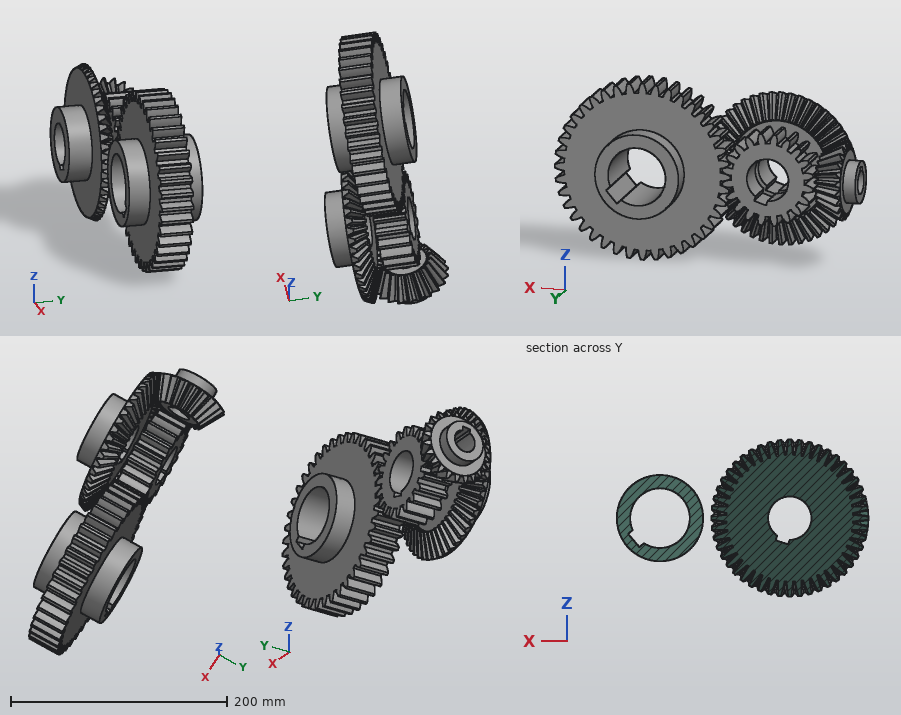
import cadquery as cq
import math

overall_length = 289.0
pressure_angle = math.radians(20)
backlash = 0.15
overshoot = 1.0

spur_gear_teeth = 40
spur_pinion_teeth = 20
spur_gear_tip_diameter = 168.0
spur_module = spur_gear_tip_diameter / (spur_gear_teeth + 2)
spur_dedendum = 1.25 * spur_module
spur_centre_distance = spur_module * (spur_gear_teeth + spur_pinion_teeth) / 2
spur_width = 30.0
spur_hub_diameter = 80.0
spur_hub_length = 70.0

bevel_gear_teeth = 48
bevel_pinion_teeth = 22
bevel_gear_pitch_diameter = 144.0
bevel_module = bevel_gear_pitch_diameter / bevel_gear_teeth
cone_distance = bevel_module * math.hypot(bevel_gear_teeth, bevel_pinion_teeth) / 2
bevel_face_width = 26.0
bevel_ratio = bevel_gear_teeth / bevel_pinion_teeth
bevel_gear_addendum = bevel_module * (0.54 + 0.46 / bevel_ratio**2)
bevel_pinion_addendum = 2 * bevel_module - bevel_gear_addendum
bevel_whole_depth = 2.188 * bevel_module
bevel_toe_step = 1.0

bevel_gear_back = 38.1
bevel_gear_hub_end = 60.0
bevel_gear_hub_diameter = 70.0
bevel_pinion_back = 73.5
bevel_pinion_hub_end = overall_length - spur_centre_distance - spur_gear_tip_diameter / 2
bevel_pinion_hub_diameter = 40.0

spur_gear_bore = (55.0, 16.0, 31.8, -40.5)
cross_shaft_bore = (40.0, 12.0, 23.5, -72)
bevel_pinion_bore = (22.0, 8.0, 14.2, -8)


def involute(angle):
    return math.tan(angle) - angle


def tooth_space(plane, module, teeth, root_radius, outer_radius, scale=1.0):
    """Closed outline of one involute tooth gap; the plane's origin lies on the pitch circle."""
    pitch_radius = module * teeth / 2
    base_radius = pitch_radius * math.cos(pressure_angle)
    thickness = module * math.pi / 2 - backlash

    def half_gap(radius):
        local_angle = math.acos(min(1.0, base_radius / radius))
        half_tooth = thickness / (2 * pitch_radius) + involute(pressure_angle) - involute(local_angle)
        return math.pi / teeth - half_tooth

    def point(radius, angle):
        return (scale * radius * math.sin(angle), scale * (radius * math.cos(angle) - pitch_radius))

    foot_radius = max(base_radius, root_radius)
    middle_radius = (foot_radius + outer_radius) / 2
    foot, middle, outer = half_gap(foot_radius), half_gap(middle_radius), half_gap(outer_radius)

    outline = cq.Workplane(plane).moveTo(*point(outer_radius, -outer))
    outline = outline.threePointArc(point(middle_radius, -middle), point(foot_radius, -foot))
    if root_radius < base_radius:
        outline = outline.lineTo(*point(root_radius, -foot))
    outline = outline.threePointArc(point(root_radius, 0), point(root_radius, foot))
    if root_radius < base_radius:
        outline = outline.lineTo(*point(foot_radius, foot))
    return outline.threePointArc(point(middle_radius, middle), point(outer_radius, outer)).close()


def cut_tooth_spaces(blank, space, teeth, first_space):
    """Cut copies of one space, turned about Z from first_space (degrees), out of the blank."""
    spaces = [space.rotate((0, 0, 0), (0, 0, 1), first_space + 360 * i / teeth) for i in range(teeth)]
    return cq.Workplane(blank.val().cut(*[each.val() for each in spaces]).Solids()[0])


def cut_keyed_bore(body, bore):
    """Cut a bore with a keyway right through a body, along Z."""
    diameter, key_width, floor_distance, direction = bore
    cutter_length = 2 * overall_length
    hole = cq.Workplane("XY").cylinder(cutter_length, diameter / 2)
    keyway = cq.Workplane("XY").box(floor_distance, key_width, cutter_length, centered=(False, True, True))
    bored = body.cut(hole).cut(keyway.rotate((0, 0, 0), (0, 0, 1), direction))
    return bored.solids()


def spur_toothed_disc(teeth, first_space):
    """Toothed disc about Z, centred on the XY plane."""
    pitch_radius = spur_module * teeth / 2
    tip_radius = pitch_radius + spur_module
    bottom = cq.Plane(origin=(0, 0, -spur_width / 2))
    plane = cq.Plane(origin=(pitch_radius, 0, -spur_width / 2), xDir=(0, -1, 0), normal=(0, 0, 1))
    outline = tooth_space(plane, spur_module, teeth, pitch_radius - spur_dedendum, tip_radius + overshoot)
    space = outline.extrude(spur_width)
    blank = cq.Workplane(bottom).circle(tip_radius).extrude(spur_width)
    return cut_tooth_spaces(blank, space, teeth, first_space)


def bevel_wheel(teeth, mate_teeth, addendum, mate_addendum, back, hub_end, hub_diameter, bore):
    """Straight bevel wheel about Z with its apex at the origin and a tooth on +X."""
    pitch_angle = math.atan2(teeth, mate_teeth)
    sine = math.sin(pitch_angle)
    cosine = math.cos(pitch_angle)
    dedendum = bevel_whole_depth - addendum
    mate_dedendum = bevel_whole_depth - mate_addendum
    toe_distance = cone_distance - bevel_face_width
    toe_scale = toe_distance / cone_distance
    toe_addendum = addendum - bevel_face_width * mate_dedendum / cone_distance

    def profile_point(distance, height):
        """Point (radius, z) at a distance along the pitch line and a height square to it."""
        return (distance * sine + height * cosine, distance * cosine - height * sine)

    toe_rim = profile_point(toe_distance, -dedendum * toe_scale - bevel_toe_step)
    back_radius = (cone_distance - back * cosine) / sine
    blank = (
        cq.Workplane("XZ")
        .moveTo(0, hub_end)
        .lineTo(hub_diameter / 2, hub_end)
        .lineTo(hub_diameter / 2, back)
        .lineTo(back_radius, back)
        .lineTo(*profile_point(cone_distance, addendum))
        .lineTo(*profile_point(toe_distance, toe_addendum))
        .lineTo(*toe_rim)
        .lineTo(0, toe_rim[1])
        .close()
        .revolve(360, (0, 0, 0), (0, 1, 0))
    )

    virtual_teeth = teeth / cosine
    virtual_pitch_radius = bevel_module * virtual_teeth / 2

    def space_wire(distance):
        radius, height = profile_point(distance, 0)
        plane = cq.Plane(origin=(radius, 0, height), xDir=(0, 1, 0), normal=(-sine, 0, -cosine))
        outline = tooth_space(
            plane,
            bevel_module,
            virtual_teeth,
            virtual_pitch_radius - dedendum,
            virtual_pitch_radius + addendum + 2 * overshoot,
            distance / cone_distance,
        )
        return outline.val()

    wires = [space_wire(cone_distance + overshoot), space_wire(toe_distance - overshoot)]
    space = cq.Workplane(cq.Solid.makeLoft(wires, True))
    wheel = cut_tooth_spaces(blank, space, teeth, 180 / teeth)
    return cut_keyed_bore(wheel, bore)


def axis_to_minus_y(body):
    """Turn a body so that its +Z becomes -Y and its +Y becomes +Z."""
    return body.rotate((0, 0, 0), (1, 0, 0), 90)


def axis_to_minus_x(body):
    """Turn a body so that its +Z becomes -X and its +X becomes +Z."""
    return body.rotate((0, 0, 0), (0, 1, 0), -90)


def make_spur_gear():
    """Large spur gear with a hub on both sides and a tooth pointing at the pinion."""
    disc = spur_toothed_disc(spur_gear_teeth, 180 / spur_gear_teeth)
    hub_end = cq.Plane(origin=(0, 0, -spur_hub_length / 2))
    hub = cq.Workplane(hub_end).circle(spur_hub_diameter / 2).extrude(spur_hub_length)
    gear = cut_keyed_bore(disc.union(hub), spur_gear_bore)
    return axis_to_minus_y(gear).translate((spur_centre_distance, 0, 0))


def make_spur_pinion():
    """Plain spur pinion on the bevel gear's axis, with a tooth space facing the spur gear."""
    disc = spur_toothed_disc(spur_pinion_teeth, 0)
    return axis_to_minus_y(cut_keyed_bore(disc, cross_shaft_bore))


def make_bevel_gear():
    gear = bevel_wheel(
        bevel_gear_teeth,
        bevel_pinion_teeth,
        bevel_gear_addendum,
        bevel_pinion_addendum,
        bevel_gear_back,
        bevel_gear_hub_end,
        bevel_gear_hub_diameter,
        cross_shaft_bore,
    )
    return axis_to_minus_y(gear)


def make_bevel_pinion():
    pinion = bevel_wheel(
        bevel_pinion_teeth,
        bevel_gear_teeth,
        bevel_pinion_addendum,
        bevel_gear_addendum,
        bevel_pinion_back,
        bevel_pinion_hub_end,
        bevel_pinion_hub_diameter,
        bevel_pinion_bore,
    )
    return axis_to_minus_x(pinion)


spur_gear = make_spur_gear()
spur_pinion = make_spur_pinion()
bevel_gear = make_bevel_gear()
bevel_pinion = make_bevel_pinion()

result = cq.Compound.makeCompound(
    [spur_gear.val(), spur_pinion.val(), bevel_gear.val(), bevel_pinion.val()]
)